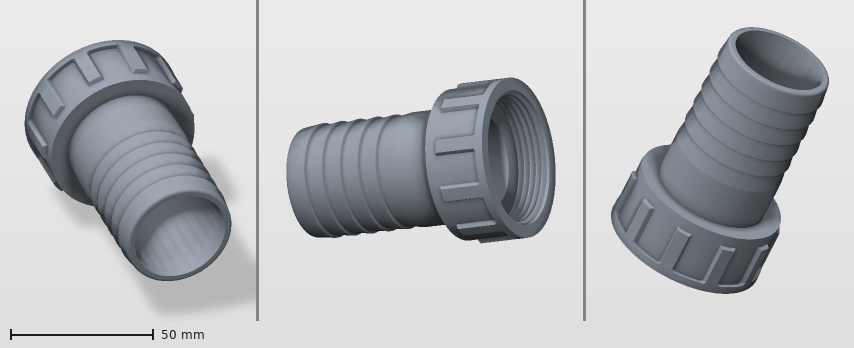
import cadquery as cq
import math

NUT_LENGTH = 23.1
NUT_DIAMETER = 56.5
NUT_RADIUS = NUT_DIAMETER / 2
COLLAR_RADIUS = 26.7
RIM_WIDTH = 2.95
RIB_TOP_END = 18.4
RIB_FOOT_END = 18.9

RIB_COUNT = 10
RIB_TOP_HALF_WIDTH = 2.3
RIB_FOOT_HALF_WIDTH = 2.95
POCKET_CORNER_RADIUS = 1.0
RIB_SPARE_HEIGHT = 1.6

THREAD_MAJOR_RADIUS = 23.7
THREAD_MINOR_RADIUS = 22.4
THREAD_PITCH = 2.3
THREAD_START = 0.25
THREAD_CREST_WIDTH = 0.4
FLANK_HALF_ANGLE = 27.5
THREAD_ROOT_OVERLAP = 0.3

GASKET_FACE = 12.2
GASKET_THICKNESS = 2.3
SEAT_RADIUS = 22.1
BORE_RADIUS = 16.1

TAIL_END = 82
TAIL_RADIUS = 20.25
FLANGE_FACE = GASKET_FACE + GASKET_THICKNESS
FLANGE_BACK = 18.45
BORE_LAND_LENGTH = 0.9
BORE_END_RADIUS = 16.8

BARB_COUNT = 6
BARB_START = 39.0
BARB_PITCH = 7.02
BARB_ROOT_RADIUS = 19.3
BARB_STEP_LENGTH = 0.4
TIP_RADIUS = 1.1


def turned(outline):
    """Revolve a closed (x, radius) outline about the X axis."""
    return outline.close().revolve(360, (0, 0, 0), (1, 0, 0))


def nut_blank():
    """Nut body at its full outer radius, with a plain socket, gasket seat and tail hole."""
    return turned(
        cq.Workplane("XZ")
        .moveTo(0, THREAD_MAJOR_RADIUS)
        .lineTo(0, NUT_RADIUS)
        .lineTo(NUT_LENGTH, NUT_RADIUS)
        .lineTo(NUT_LENGTH, TAIL_RADIUS)
        .lineTo(FLANGE_BACK, TAIL_RADIUS)
        .lineTo(FLANGE_BACK, SEAT_RADIUS)
        .lineTo(GASKET_FACE, SEAT_RADIUS)
        .lineTo(GASKET_FACE, THREAD_MAJOR_RADIUS)
    )


def rib_at_top():
    """Rib on the +Z side: tapered across its width and sloped at its far end, with spare height."""
    low = COLLAR_RADIUS - RIB_SPARE_HEIGHT
    high = NUT_RADIUS + RIB_SPARE_HEIGHT
    rise = NUT_RADIUS - COLLAR_RADIUS
    half_width_slope = (RIB_FOOT_HALF_WIDTH - RIB_TOP_HALF_WIDTH) / rise
    end_slope = (RIB_FOOT_END - RIB_TOP_END) / rise
    low_half_width = RIB_FOOT_HALF_WIDTH + RIB_SPARE_HEIGHT * half_width_slope
    high_half_width = RIB_TOP_HALF_WIDTH - RIB_SPARE_HEIGHT * half_width_slope
    cross_section = (
        cq.Workplane("YZ")
        .polyline(
            [
                (-low_half_width, low),
                (low_half_width, low),
                (high_half_width, high),
                (-high_half_width, high),
            ]
        )
        .close()
        .extrude(NUT_LENGTH)
    )
    side_profile = (
        cq.Workplane("XZ")
        .polyline(
            [
                (0, low),
                (RIB_FOOT_END + RIB_SPARE_HEIGHT * end_slope, low),
                (RIB_TOP_END - RIB_SPARE_HEIGHT * end_slope, high),
                (0, high),
            ]
        )
        .close()
        .extrude(low_half_width, both=True)
    )
    return cross_section.intersect(side_profile)


def space_between_ribs():
    """Sleeve around the collar with the ribs left out, its corners at the rim rounded."""
    space = (
        cq.Workplane("YZ", origin=(RIM_WIDTH, 0, 0))
        .circle(NUT_RADIUS + RIB_SPARE_HEIGHT / 2)
        .circle(COLLAR_RADIUS)
        .extrude(NUT_LENGTH)
    )
    rib = rib_at_top()
    for index in range(RIB_COUNT):
        space = space.cut(rib.rotate((0, 0, 0), (1, 0, 0), (index + 0.5) * 360 / RIB_COUNT))
    return space.faces("<X").edges("%LINE").fillet(POCKET_CORNER_RADIUS)


def thread_ridge():
    """Right-handed ridge that starts on the +Y side and runs into the gasket seat."""
    flank_slope = math.tan(math.radians(FLANK_HALF_ANGLE))
    root_radius = THREAD_MAJOR_RADIUS + THREAD_ROOT_OVERLAP
    crest_half = THREAD_CREST_WIDTH / 2
    root_half = crest_half + (THREAD_MAJOR_RADIUS - THREAD_MINOR_RADIUS) * flank_slope
    buried_half = root_half + THREAD_ROOT_OVERLAP * flank_slope
    start = THREAD_START + root_half
    length = GASKET_FACE + root_half - start
    helix = cq.Wire.makeHelix(THREAD_PITCH, length, THREAD_MINOR_RADIUS)
    ridge = (
        cq.Workplane("XZ")
        .moveTo(root_radius, -buried_half)
        .lineTo(THREAD_MINOR_RADIUS, -crest_half)
        .lineTo(THREAD_MINOR_RADIUS, crest_half)
        .lineTo(root_radius, buried_half)
        .close()
        .sweep(cq.Workplane(helix), isFrenet=True)
    )
    ridge = ridge.rotate((0, 0, 0), (1, 1, 1), 120).translate((start, 0, 0))
    before_gasket = cq.Workplane("YZ").circle(NUT_RADIUS).extrude(GASKET_FACE)
    inside_socket = cq.Workplane("YZ").circle(THREAD_MAJOR_RADIUS).extrude(NUT_LENGTH)
    return ridge.intersect(before_gasket).intersect(inside_socket)


def make_nut():
    return nut_blank().cut(space_between_ribs()).union(thread_ridge())


def make_gasket():
    return (
        cq.Workplane("YZ", origin=(GASKET_FACE, 0, 0))
        .circle(SEAT_RADIUS)
        .circle(BORE_RADIUS)
        .extrude(GASKET_THICKNESS)
    )


def make_hose_tail():
    outline = (
        cq.Workplane("XZ")
        .moveTo(FLANGE_FACE, BORE_RADIUS)
        .lineTo(FLANGE_FACE, SEAT_RADIUS)
        .lineTo(FLANGE_BACK, SEAT_RADIUS)
        .lineTo(FLANGE_BACK, TAIL_RADIUS)
        .lineTo(BARB_START, TAIL_RADIUS)
    )
    for index in range(1, BARB_COUNT):
        crest = BARB_START + index * BARB_PITCH
        outline = outline.lineTo(crest - BARB_STEP_LENGTH, BARB_ROOT_RADIUS).lineTo(crest, TAIL_RADIUS)
    outline = (
        outline.lineTo(TAIL_END, BARB_ROOT_RADIUS)
        .lineTo(TAIL_END, BORE_END_RADIUS)
        .lineTo(FLANGE_FACE + BORE_LAND_LENGTH, BORE_RADIUS)
    )
    return turned(outline).faces(">X").edges(cq.selectors.RadiusNthSelector(-1)).fillet(TIP_RADIUS)


nut = make_nut()
gasket = make_gasket()
hose_tail = make_hose_tail()

result = cq.Compound.makeCompound([nut.val(), gasket.val(), hose_tail.val()])